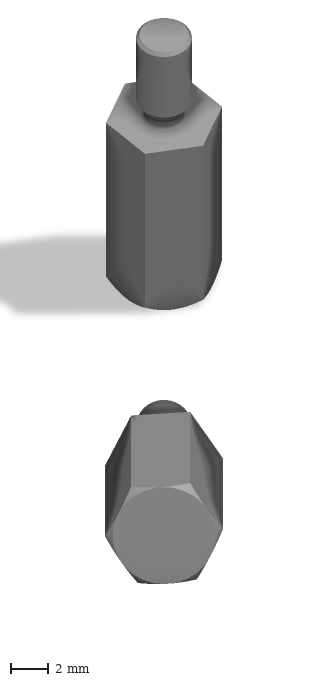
import cadquery as cq
import math

across_flats = 5.5
across_corners = across_flats / math.cos(math.radians(30))
body_length = 12.0
corner_chamfer_angle = 45.0

stud_diameter = 3.0
stud_length = 6.0
tip_diameter = 2.6
tip_chamfer_height = 0.2

neck_diameter = 2.13
undercut_length = 1.25
undercut_fillet = 0.2
undercut_angle = 30.0


def hex_body():
    """Hexagonal prism with its bottom corners cut back by a cone."""
    prism = cq.Workplane("XY").polygon(6, across_corners).extrude(body_length)
    bottom_radius = across_flats / 2
    corner_radius = across_corners / 2
    chamfer_height = (corner_radius - bottom_radius) * math.tan(math.radians(corner_chamfer_angle))
    envelope = (
        cq.Workplane("XZ")
        .moveTo(0, 0)
        .lineTo(bottom_radius, 0)
        .lineTo(corner_radius, chamfer_height)
        .lineTo(corner_radius, body_length)
        .lineTo(0, body_length)
        .close()
        .revolve(360, (0, 0), (0, 1))
    )
    return prism.intersect(envelope)


def stud():
    """Revolved stud: filleted neck, cone, plain shank and chamfered tip."""
    neck_radius = neck_diameter / 2
    stud_radius = stud_diameter / 2
    slope = math.radians(undercut_angle)
    stud_top = body_length + stud_length
    cone_top = body_length + undercut_length
    cone_bottom = cone_top - (stud_radius - neck_radius) / math.tan(slope)

    base_fillet_top = body_length + undercut_fillet
    tangent_length = undercut_fillet * math.tan(slope / 2)
    cone_fillet_bottom = cone_bottom - tangent_length
    cone_fillet_end = (
        neck_radius + tangent_length * math.sin(slope),
        cone_bottom + tangent_length * math.cos(slope),
    )

    profile = (
        cq.Workplane("XZ")
        .moveTo(0, body_length)
        .lineTo(neck_radius + undercut_fillet, body_length)
        .radiusArc((neck_radius, base_fillet_top), undercut_fillet)
        .lineTo(neck_radius, cone_fillet_bottom)
        .radiusArc(cone_fillet_end, undercut_fillet)
        .lineTo(stud_radius, cone_top)
        .lineTo(stud_radius, stud_top - tip_chamfer_height)
        .lineTo(tip_diameter / 2, stud_top)
        .lineTo(0, stud_top)
        .close()
    )
    return profile.revolve(360, (0, 0), (0, 1))


result = hex_body().union(stud())